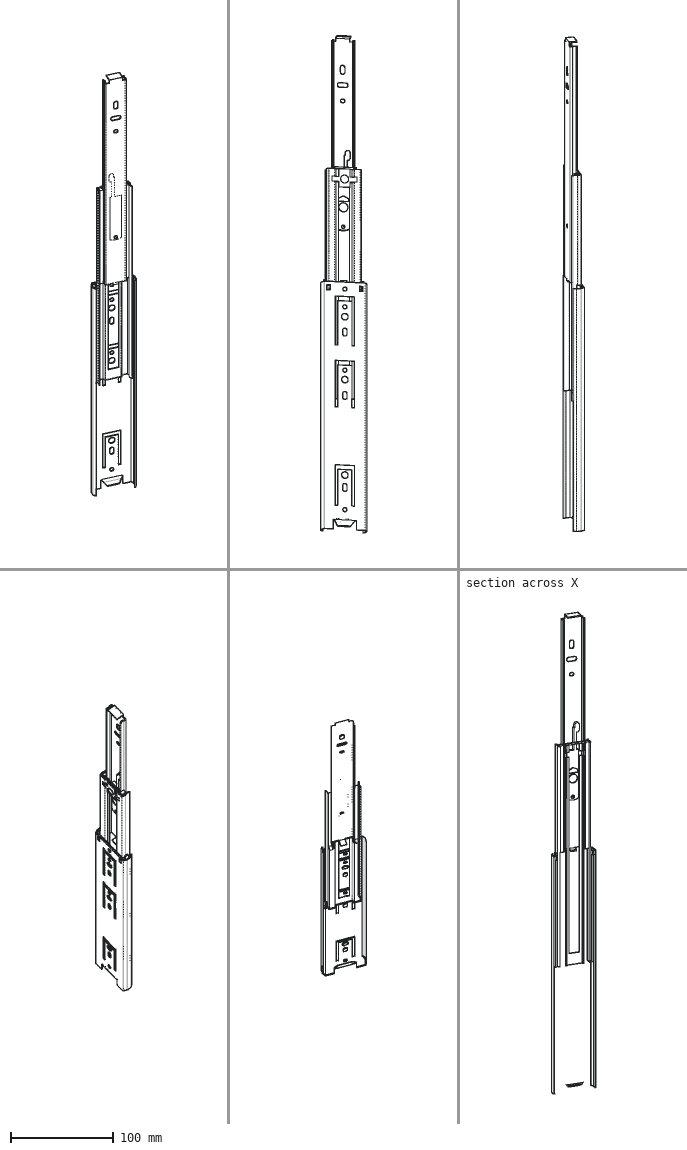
import cadquery as cq
import math


SLIDE_LENGTH = 500.0
SLIDE_DEPTH = 12.5
SLIDE_WIDTH = 45.5
SHEET = 1.2
BITE = 25.0
CUT_MARGIN = 0.5

OUTER_BOTTOM = 0.0
OUTER_TOP = 250.0
OUTER_LIP_X = 11.5
OUTER_WEB_HALF = 20.5
OUTER_FLAT_X = (4.0, 8.5)

MIDDLE_BOTTOM = 133.0
MIDDLE_TOP = 365.0
MIDDLE_HALF_WIDTH = 17.5
MIDDLE_X = (2.0, 12.0)
MIDDLE_STEP_HALF = (8.5, 9.5)
MIDDLE_STEP_DEPTH = 2.5

INNER_BOTTOM = 253.0
INNER_TOP = 496.0
INNER_WIDTH = 22.5
INNER_LIP_X = 4.75

RACE_DEPTH = 0.75
HALF_SHEET = SHEET / 2


def box(x_range, y_range, z_range):
    """Block between the given limits."""
    size = [high - low for low, high in (x_range, y_range, z_range)]
    corner = (x_range[0], y_range[0], z_range[0])
    return cq.Workplane("XY").box(*size, centered=False).translate(corner)


def block(x_range, half_width, z_range):
    """Block centred on Y = 0."""
    return box(x_range, (-half_width, half_width), z_range)


def trace(path, points, races):
    """Continue `path` along `points`, with an arc instead of a line where a race is given."""
    for start, end in zip(points, points[1:]):
        if (start, end) in races:
            middle_x = (start[0] + end[0]) / 2
            race_y = start[1] - math.copysign(RACE_DEPTH, start[1])
            path = path.threePointArc((middle_x, race_y), end)
        else:
            path = path.lineTo(*end)
    return path


def folded_sheet(half_path, bottom, top, race=()):
    """Sheet channel: the centre line of one half, from the web out, mirrored and thickened.

    `race` holds the two neighbouring points of the half path with the ball race between them.
    """
    mirrored = [(x, -y) for x, y in half_path]
    mirrored_race = tuple((x, -y) for x, y in race)
    points = mirrored[::-1] + half_path
    races = (race, mirrored_race[::-1])
    path = trace(cq.Workplane("XY").moveTo(*points[0]), points, races)
    outline = path.wire().val().offset2D(HALF_SHEET, "arc")[0]
    sheet = cq.Workplane("XY").add(outline).toPending().extrude(top - bottom)
    return sheet.translate((0, 0, bottom))


def web_hole(z, width, height):
    """Cutter for a round hole or rounded slot through a web, centred on Y = 0."""
    face = cq.Workplane("YZ").workplane(offset=-CUT_MARGIN).center(0, z)
    if width == height:
        return face.circle(width / 2).extrude(BITE)
    angle = 0 if width > height else 90
    return face.slot2D(max(width, height), min(width, height), angle).extrude(BITE)


SMALL_HOLE = 4.0
LARGE_HOLE = 6.5
SLOT_WIDTH = 4.25
SLOT_HEIGHT = 8.0

OUTER_SMALL_HOLE_Z = (243.0, 225.0, 161.0, 20.0)
OUTER_LARGE_HOLE_Z = (215.0, 151.5, 55.0)
OUTER_SLOT_Z = (199.5, 135.5, 42.5)
TONGUES = ((186.0, 235.5), (123.5, 170.5), (24.0, 65.0))
TONGUE_HALF = 7.0
TONGUE_CUT_HALF = 9.5
TONGUE_END_GAP = 4.5

CRIMP_HALF = (14.5, 18.0)
CRIMP_Z = (241.5, 246.5)
END_NOTCH_HALF = 11.5
OUTER_WEB_CUT_X = (-CUT_MARGIN, SHEET + CUT_MARGIN)
END_NOTCH_TOP = 9.5
STOP_TAB_HALF = (6.0, 10.5)
STOP_TAB_Z = 4.0
STOP_TAB_BEND = (2.5, 7.0)
STOP_TAB_X = 5.5


def tongue_cut(bottom, top):
    """U-shaped cut that frees a tongue in the outer web."""
    frame = block(OUTER_WEB_CUT_X, TONGUE_CUT_HALF, (bottom, top))
    return frame.cut(block(OUTER_WEB_CUT_X, TONGUE_HALF, (bottom, top - TONGUE_END_GAP)))


def stop_tab():
    """Tapered tab at the bottom notch, leaning into the channel."""
    free, fixed = STOP_TAB_HALF
    outline = [(-fixed, END_NOTCH_TOP), (-free, STOP_TAB_Z), (free, STOP_TAB_Z), (fixed, END_NOTCH_TOP)]
    outline += [(fixed, END_NOTCH_TOP + SHEET), (-fixed, END_NOTCH_TOP + SHEET)]
    taper = cq.Workplane("YZ").polyline(outline).close().extrude(BITE)
    bend_x, bend_z = STOP_TAB_BEND
    bent_strip = [
        (0, END_NOTCH_TOP),
        (bend_x, bend_z),
        (STOP_TAB_X, STOP_TAB_Z),
        (STOP_TAB_X, STOP_TAB_Z + SHEET),
        (bend_x + HALF_SHEET, bend_z + SHEET),
        (SHEET, END_NOTCH_TOP + SHEET),
        (0, END_NOTCH_TOP + SHEET),
    ]
    return cq.Workplane("XZ").polyline(bent_strip).close().extrude(BITE, both=True).intersect(taper)


def outer_channel():
    flange_y = SLIDE_WIDTH / 2 - HALF_SHEET
    half_path = [
        (HALF_SHEET, OUTER_WEB_HALF),
        (OUTER_FLAT_X[0], flange_y),
        (OUTER_FLAT_X[1], flange_y),
        (OUTER_LIP_X - HALF_SHEET, OUTER_WEB_HALF),
    ]
    body = folded_sheet(half_path, OUTER_BOTTOM, OUTER_TOP)
    for z in OUTER_SMALL_HOLE_Z:
        body = body.cut(web_hole(z, SMALL_HOLE, SMALL_HOLE))
    for z in OUTER_LARGE_HOLE_Z:
        body = body.cut(web_hole(z, LARGE_HOLE, LARGE_HOLE))
    for z in OUTER_SLOT_Z:
        body = body.cut(web_hole(z, SLOT_WIDTH, SLOT_HEIGHT))
    for bottom, top in TONGUES:
        body = body.cut(tongue_cut(bottom, top))
    crimp = box(OUTER_WEB_CUT_X, CRIMP_HALF, CRIMP_Z)
    body = body.cut(crimp).cut(crimp.mirror("XZ"))
    body = body.cut(block(OUTER_WEB_CUT_X, END_NOTCH_HALF, (OUTER_BOTTOM, END_NOTCH_TOP)))
    return body.union(stop_tab())


MIDDLE_WEB_HALF = 16.0
MIDDLE_RACE_X = 6.0
WEB_SLOT_HALF = 5.5
WEB_SLOT_BOTTOM = 145.0

CLIP_ARM_HALF = 12.5
CLIP_ARM_Z = (352.0, 357.0)


def middle_channel():
    web_x = MIDDLE_X[0] + HALF_SHEET
    flange_y = MIDDLE_HALF_WIDTH - HALF_SHEET
    lip_x = MIDDLE_X[1] - HALF_SHEET
    half_path = [
        (web_x + MIDDLE_STEP_DEPTH, MIDDLE_STEP_HALF[0]),
        (web_x, MIDDLE_STEP_HALF[1]),
        (web_x, MIDDLE_WEB_HALF),
        (MIDDLE_RACE_X, flange_y),
        (lip_x, flange_y),
    ]
    body = folded_sheet(half_path, MIDDLE_BOTTOM, MIDDLE_TOP, race=tuple(half_path[-2:]))
    body = body.cut(block((0, BITE), WEB_SLOT_HALF, (WEB_SLOT_BOTTOM, MIDDLE_TOP)))
    return body.cut(block((0, BITE), CLIP_ARM_HALF, CLIP_ARM_Z))


INNER_RACE_X = (6.0, 9.5)
END_TAB_HALF = 7.0
END_TAB_X = 4.0
FOOT_TAB_HALF = 3.0
FOOT_TAB_X = 6.0
FOOT_TAB_BOTTOM = 251.5
INNER_HOLES = ((467.5, 4.5, 9.0), (452.0, 10.5, 4.5), (436.0, 4.5, 3.5))
RIVET_Z = 308.0
RIVET_HOLE = 3.5


def inner_channel():
    web_x = SLIDE_DEPTH - HALF_SHEET
    flange_y = INNER_WIDTH / 2 - HALF_SHEET
    lip_x = INNER_LIP_X + HALF_SHEET
    half_path = [
        (web_x, flange_y),
        (INNER_RACE_X[1], flange_y),
        (INNER_RACE_X[0], flange_y),
        (lip_x, flange_y),
    ]
    body = folded_sheet(half_path, INNER_BOTTOM, INNER_TOP, race=tuple(half_path[1:3]))
    neck = block((SLIDE_DEPTH - SHEET, SLIDE_DEPTH), END_TAB_HALF, (INNER_TOP, SLIDE_LENGTH))
    end_tab = block((END_TAB_X, SLIDE_DEPTH), END_TAB_HALF, (SLIDE_LENGTH - SHEET, SLIDE_LENGTH))
    foot_tab = block((FOOT_TAB_X, SLIDE_DEPTH), FOOT_TAB_HALF, (FOOT_TAB_BOTTOM, INNER_BOTTOM))
    body = body.union(neck).union(end_tab).union(foot_tab)
    for z, width, height in INNER_HOLES:
        body = body.cut(web_hole(z, width, height))
    return body.cut(web_hole(RIVET_Z, RIVET_HOLE, RIVET_HOLE))


CLIP_X = (MIDDLE_X[0], MIDDLE_X[0] + SHEET)
CLIP_BOTTOM = 346.5
CLIP_BOSS_Z = 354.5
CLIP_BOSS_RADIUS = 4.0
CLIP_BOSS_HEIGHT = 0.5


def stop_clip():
    body = block(CLIP_X, WEB_SLOT_HALF, (CLIP_BOTTOM, MIDDLE_TOP))
    arms = block(CLIP_X, CLIP_ARM_HALF, CLIP_ARM_Z)
    face = cq.Workplane("YZ").workplane(offset=CLIP_X[0])
    boss = face.center(0, CLIP_BOSS_Z).circle(CLIP_BOSS_RADIUS).extrude(-CLIP_BOSS_HEIGHT)
    return body.union(arms).union(boss)


LEVER_X = (8.5, SLIDE_DEPTH - SHEET)
LEVER_HALF = 6.0
LEVER_BOTTOM = 304.5
LEVER_END_SAG = 1.5
LEVER_SHOULDER = 357.0
RAISED_HEIGHT = 1.0
LEVER_BOSS_Z = 327.5
LEVER_BOSS_RADIUS = 4.5
ARROW_HALF = 5.0
ARROW_Z = (333.5, 336.5, 339.0)
STEM_Y = (-4.0, -1.0)
FINGER_PAD = (-4.5, 380.5)
FINGER_PAD_SIZE = (5.0, 10.0)


def release_lever():
    thickness = LEVER_X[1] - LEVER_X[0]
    face = cq.Workplane("YZ").workplane(offset=LEVER_X[0])
    side_z = LEVER_BOTTOM + LEVER_END_SAG
    plate = (
        face.moveTo(-LEVER_HALF, side_z)
        .threePointArc((0, LEVER_BOTTOM), (LEVER_HALF, side_z))
        .lineTo(LEVER_HALF, LEVER_SHOULDER)
        .lineTo(-LEVER_HALF, LEVER_SHOULDER)
        .close()
        .extrude(thickness)
    )
    boss = face.center(0, LEVER_BOSS_Z).circle(LEVER_BOSS_RADIUS).extrude(-RAISED_HEIGHT)
    base, shoulder, tip = ARROW_Z
    arrow_outline = [
        (-ARROW_HALF, base),
        (ARROW_HALF, base),
        (ARROW_HALF, shoulder),
        (0, tip),
        (-ARROW_HALF, shoulder),
    ]
    arrow = face.polyline(arrow_outline).close().extrude(-RAISED_HEIGHT)
    stem = box(LEVER_X, STEM_Y, (LEVER_SHOULDER, FINGER_PAD[1]))
    pad_width, pad_height = FINGER_PAD_SIZE
    pad = face.center(*FINGER_PAD).slot2D(pad_height, pad_width, 90).extrude(thickness)
    lever = plate.union(boss).union(arrow).union(stem).union(pad)
    return lever.cut(web_hole(RIVET_Z, RIVET_HOLE, RIVET_HOLE))


OUTER_RETAINER_X = (1.3, 4.0, 7.5)
OUTER_RETAINER_HALF = (18.5, 20.0)
OUTER_RETAINER_TOP = 252.5
OUTER_BRIDGE_THICKNESS = 0.6
OUTER_BRIDGE_Z = (246.0, 250.5)


def outer_retainer():
    """Two legs along the flanges, joined near the top by a U-shaped bridge behind the middle web."""
    back, leg_back, front = OUTER_RETAINER_X
    inside, outside = OUTER_RETAINER_HALF
    bridge = block((back, front), outside, OUTER_BRIDGE_Z)
    bridge = bridge.cut(block((back + OUTER_BRIDGE_THICKNESS, front), inside, OUTER_BRIDGE_Z))
    leg = box((leg_back, front), (inside, outside), (MIDDLE_BOTTOM, OUTER_RETAINER_TOP))
    return bridge.union(leg).union(leg.mirror("XZ"))


INNER_RETAINER_X = (4.0, 8.5)
INNER_RETAINER_GAP = 0.5
INNER_RETAINER_HALF = (INNER_WIDTH / 2 + INNER_RETAINER_GAP, 15.0)
INNER_RETAINER_TOP = 365.5
INNER_BRIDGE_X = (3.25, 4.5)
INNER_BRIDGE_HALF = 12.0
INNER_BRIDGE_TOP = 367.0


def inner_retainer():
    """Two legs along the flanges, joined by a bridge just above the middle channel."""
    leg = box(INNER_RETAINER_X, INNER_RETAINER_HALF, (INNER_BOTTOM, INNER_RETAINER_TOP))
    bridge = block(INNER_BRIDGE_X, INNER_BRIDGE_HALF, (MIDDLE_TOP, INNER_BRIDGE_TOP))
    return bridge.union(leg).union(leg.mirror("XZ"))


bodies = [
    outer_channel(),
    middle_channel(),
    inner_channel(),
    stop_clip(),
    release_lever(),
    outer_retainer(),
    inner_retainer(),
]

result = cq.Compound.makeCompound([body.solids().val() for body in bodies])